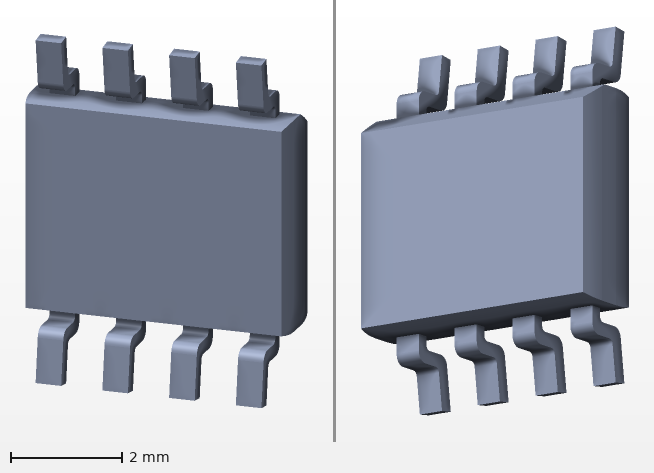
import cadquery as cq
import math

body_width = 5.0
body_height = 4.015
front_depth = 0.5
band_depth = 0.435
back_depth = 0.51
side_inset = 0.065
bevel_depth = 0.585
bevel_angle = 30.0

lead_count = 4
lead_pitch = 1.27
lead_width = 0.49
lead_thickness = 0.24
bridge_thickness = 0.255
bridge_height = 2.515
foot_thickness = 0.275
foot_angle = 8.0
tip_height = 3.29
tip_reach = 0.76
root_depth = 0.33
outer_bend_radius = 0.2
inner_bend_radius = 0.1

front_y = -front_depth
band_y = band_depth
back_y = band_depth + back_depth


def curve_inset(depth, fraction):
    """Inset of an arc tangent to the band, at a fraction of its depth."""
    radius = (depth**2 + side_inset**2) / (2 * side_inset)
    return radius - math.sqrt(radius**2 - (fraction * depth) ** 2)


def body_section(plane, half_size, length):
    """Prism of the body section; local x is across the body, local y is depth."""
    face_half = half_size - side_inset
    front_mid = (half_size - curve_inset(front_depth, 0.5), front_y / 2)
    back_mid = (half_size - curve_inset(back_depth, 0.5), band_y + back_depth / 2)
    return (
        cq.Workplane(plane)
        .moveTo(-face_half, front_y)
        .lineTo(face_half, front_y)
        .threePointArc(front_mid, (half_size, 0))
        .lineTo(half_size, band_y)
        .threePointArc(back_mid, (face_half, back_y))
        .lineTo(-face_half, back_y)
        .threePointArc((-back_mid[0], back_mid[1]), (-half_size, band_y))
        .lineTo(-half_size, 0)
        .threePointArc((-front_mid[0], front_mid[1]), (-face_half, front_y))
        .close()
        .extrude(length / 2, both=True)
    )


def make_body():
    across = body_section("XY", body_width / 2, body_height)
    upright_plane = cq.Plane(origin=(0, 0, 0), xDir=(0, 0, 1), normal=(-1, 0, 0))
    upright = body_section(upright_plane, body_height / 2, body_width)
    top_z = body_height / 2
    bevel_drop = bevel_depth * math.tan(math.radians(bevel_angle))
    bevel = (
        cq.Workplane("YZ")
        .polyline([(back_y - bevel_depth, top_z), (back_y, top_z), (back_y, top_z - bevel_drop)])
        .close()
        .extrude(body_width / 2, both=True)
    )
    return across.intersect(upright).cut(bevel)


def make_lead():
    """Upper lead centred on X = 0."""
    lean = math.radians(foot_angle)
    bridge_inner = bridge_height - bridge_thickness
    root_z = body_height / 2 - root_depth
    rear_tip = (-tip_reach + foot_thickness * math.cos(lean), tip_height)
    front_tip = (-tip_reach, tip_height - foot_thickness * math.sin(lean))
    rear_heel = (rear_tip[0] + (tip_height - bridge_height) * math.tan(lean), bridge_height)
    front_heel = (front_tip[0] + (front_tip[1] - bridge_inner) * math.tan(lean), bridge_inner)
    rear_shoulder = (lead_thickness, bridge_height)
    front_shoulder = (0, bridge_inner)
    outline = [
        (0, root_z),
        front_shoulder,
        front_heel,
        front_tip,
        rear_tip,
        rear_heel,
        rear_shoulder,
        (lead_thickness, root_z),
    ]
    lead = cq.Workplane("YZ").polyline(outline).close().extrude(lead_width / 2, both=True)
    bends = [
        (rear_shoulder, outer_bend_radius),
        (front_heel, outer_bend_radius),
        (front_shoulder, inner_bend_radius),
        (rear_heel, inner_bend_radius),
    ]
    for (y, z), radius in bends:
        lead = lead.edges(cq.NearestToPointSelector((0, y, z))).fillet(radius)
    return lead


result = make_body()
upper_lead = make_lead()
lower_lead = upper_lead.mirror("XY")
for index in range(lead_count):
    x = (index - (lead_count - 1) / 2) * lead_pitch
    for lead in (upper_lead, lower_lead):
        result = result.union(lead.translate((x, 0, 0)))